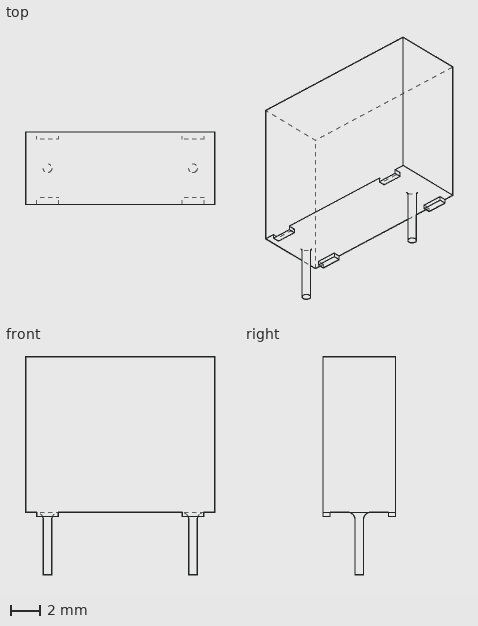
import cadquery as cq


body_length = 13.0
body_width = 5.0
seated_height = 11.0

foot_length = 1.5
foot_width = 0.5
standoff = 0.3

lead_pitch = 10.0
lead_diameter = 0.6
lead_length = 4.0
collar_radius = 0.5

lead_radius = lead_diameter / 2
lead_positions = [-lead_pitch / 2, lead_pitch / 2]
foot_offset_y = (body_width - foot_width) / 2


def make_body():
    return (
        cq.Workplane("XY", origin=(0, 0, standoff))
        .rect(body_length, body_width)
        .extrude(seated_height - standoff)
    )


def make_feet():
    """Four feet, flush with the long sides and centred on the leads."""
    centres = [(x, y) for x in lead_positions for y in (-foot_offset_y, foot_offset_y)]
    return (
        cq.Workplane("XY")
        .pushPoints(centres)
        .rect(foot_length, foot_width)
        .extrude(standoff)
    )


def make_lead(x):
    """Round lead with a quarter-circle flare blending into the body underside."""
    flare_rim = lead_radius + collar_radius
    flare_bottom = standoff - collar_radius
    profile = (
        cq.Workplane("XZ")
        .moveTo(0, -lead_length)
        .lineTo(lead_radius, -lead_length)
        .lineTo(lead_radius, flare_bottom)
        .radiusArc((flare_rim, standoff), collar_radius)
        .lineTo(0, standoff)
        .close()
    )
    return profile.revolve(360, (0, 0, 0), (0, 1, 0)).translate((x, 0, 0))


result = make_body().union(make_feet())
for lead_x in lead_positions:
    result = result.union(make_lead(lead_x))